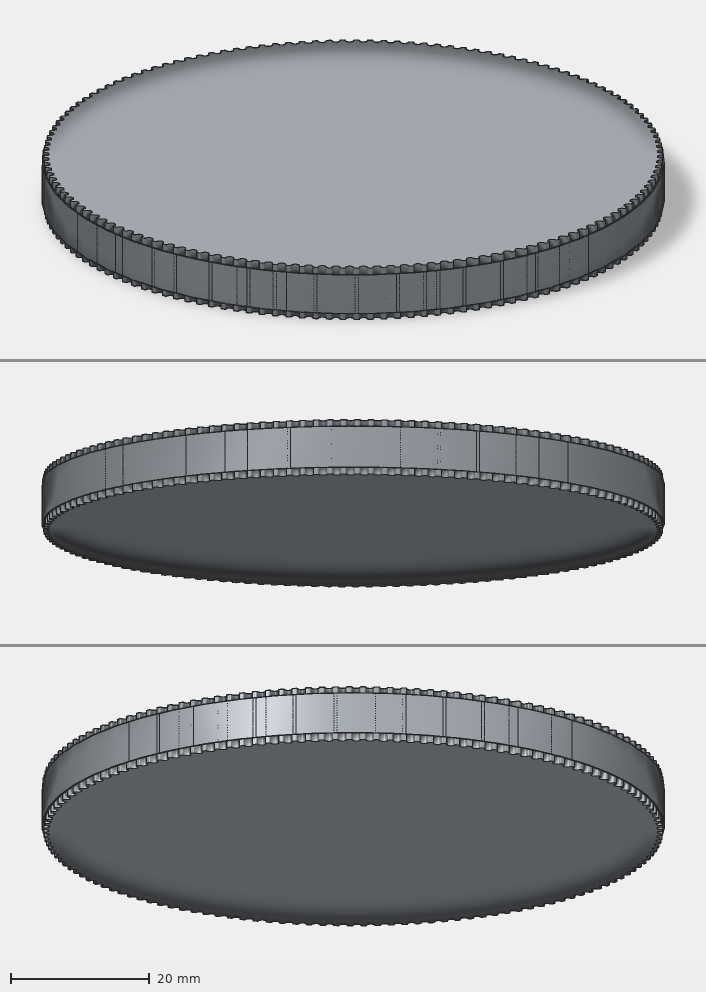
import cadquery as cq
import math

outer_diameter = 89.8
height = 8.0

band_thickness = 0.25
band_end_gap = 1.0

tooth_count = 141
groove_depth = 0.75
floor_radius = 0.59
flank_radius = 1.0
flank_center_offset = 0.38
tip_round_radius = 0.15

outer_radius = outer_diameter / 2
tip_radius = outer_radius - band_thickness
band_height = height - 2 * band_end_gap
pitch_angle = 360 / tooth_count


def point_on_circle(center, radius, angle):
    """Point at the given angle (radians) on a circle in the XY plane."""
    return (center[0] + radius * math.cos(angle), center[1] + radius * math.sin(angle))


def mirrored(point):
    """Same point on the other side of the groove's centre line."""
    return (point[0], -point[1])


def groove_cutter():
    """Full-height cutter along +X: round floor, arched flanks, rounded tooth corners."""
    origin = (0, 0)
    floor_x = tip_radius - groove_depth
    floor_center = (floor_x + floor_radius, 0)

    flank_rise = math.sqrt((flank_radius - floor_radius) ** 2 - flank_center_offset**2)
    flank_center = (floor_center[0] + flank_rise, -flank_center_offset)
    flank_start_angle = math.atan2(flank_center_offset, -flank_rise)

    flank_reach = flank_radius + tip_round_radius
    axis_reach = tip_radius - tip_round_radius
    flank_distance = math.hypot(*flank_center)
    flank_direction = math.atan2(flank_center[1], flank_center[0])
    corner_angle = flank_direction + math.acos(
        (flank_distance**2 + axis_reach**2 - flank_reach**2) / (2 * flank_distance * axis_reach)
    )
    corner_center = point_on_circle(origin, axis_reach, corner_angle)
    flank_end_angle = math.atan2(
        corner_center[1] - flank_center[1], corner_center[0] - flank_center[0]
    )
    corner_start_angle = flank_end_angle - math.pi

    flank_start = point_on_circle(flank_center, flank_radius, flank_start_angle)
    flank_middle = point_on_circle(
        flank_center, flank_radius, (flank_start_angle + flank_end_angle) / 2
    )
    flank_end = point_on_circle(flank_center, flank_radius, flank_end_angle)
    corner_middle = point_on_circle(
        corner_center, tip_round_radius, (corner_start_angle + corner_angle) / 2
    )
    mouth = point_on_circle(origin, tip_radius, corner_angle)
    outside = (outer_radius, mouth[1])

    return (
        cq.Workplane("XY")
        .moveTo(*mirrored(outside))
        .lineTo(*mirrored(mouth))
        .threePointArc(mirrored(corner_middle), mirrored(flank_end))
        .threePointArc(mirrored(flank_middle), mirrored(flank_start))
        .threePointArc((floor_x, 0), flank_start)
        .threePointArc(flank_middle, flank_end)
        .threePointArc(corner_middle, mouth)
        .lineTo(*outside)
        .close()
        .extrude(height)
    )


def toothed_disc():
    """Solid disc with evenly spaced grooves; one groove is centred on -Y."""
    disc = cq.Workplane("XY").circle(tip_radius).extrude(height)
    cutter = groove_cutter()
    first_angle = -90
    grooves = [
        cutter.rotate((0, 0, 0), (0, 0, 1), first_angle + i * pitch_angle).val()
        for i in range(tooth_count)
    ]
    return disc.cut(cq.Compound.makeCompound(grooves))


def rim_band():
    """Thin band around the tooth tips, set in from both flat faces."""
    return (
        cq.Workplane("XY", origin=(0, 0, band_end_gap))
        .circle(outer_radius)
        .circle(tip_radius)
        .extrude(band_height)
    )


result = toothed_disc().union(rim_band())